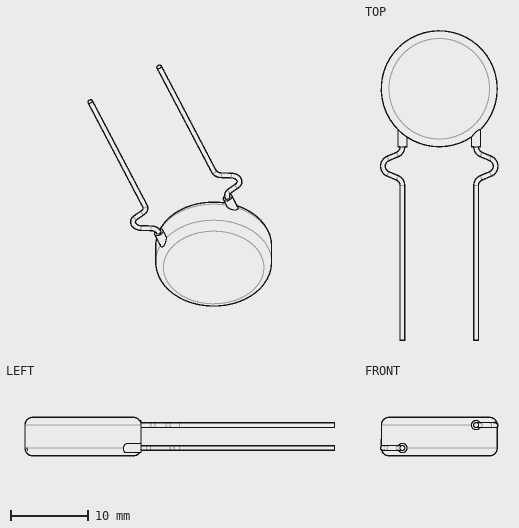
import cadquery as cq
import math

disc_diameter = 15.0
disc_height = 5.0
edge_fillet = 1.0
disc_radius = disc_diameter / 2

sleeve_diameter = 1.2
sleeve_root_y = -4.0
sleeve_end_y = -disc_radius

overall_length = 40.0
overall_width = 15.2
wire_diameter = 0.65
lead_x = 4.75
lead_z = 1.5
kink_length = 5.0
kink_bend_radius = 1.1
lead_end_y = disc_radius - overall_length
kink_end_y = sleeve_end_y - kink_length
kink_tip_y = sleeve_end_y - kink_length / 2
kink_tip_x = (overall_width - wire_diameter) / 2

lead_sides = [-1, 1]


def cylinder_along_y(diameter, side, start_y, end_y):
    """Cylinder on a lead's axis running toward -Y from start_y to end_y."""
    plane = cq.Plane(origin=(side * lead_x, start_y, side * lead_z), xDir=(1, 0, 0), normal=(0, -1, 0))
    return cq.Workplane(plane).circle(diameter / 2).extrude(start_y - end_y)


def make_housing():
    """Rounded disc with one sleeve per lead."""
    housing = (
        cq.Workplane("XY", origin=(0, 0, -disc_height / 2))
        .circle(disc_radius)
        .extrude(disc_height)
        .faces("|Z")
        .edges()
        .fillet(edge_fillet)
    )
    for side in lead_sides:
        housing = housing.union(cylinder_along_y(sleeve_diameter, side, sleeve_root_y, sleeve_end_y))
    return housing


def kink_bend_points():
    """Middle and end of the first bend, as (outward, along the lead) offsets from the kink's start.

    A straight slope tangent to two equal bends joins the sleeve to the kink's tip, and
    passes through the point halfway between them.
    """
    half_out = (kink_tip_x - lead_x) / 2
    half_along = (sleeve_end_y - kink_tip_y) / 2
    centre_to_middle = math.hypot(half_out - kink_bend_radius, half_along)
    half_slope = math.sqrt(centre_to_middle**2 - kink_bend_radius**2)
    middle_angle = math.atan2(half_along, half_out - kink_bend_radius)
    bend_angle = math.pi / 2 - middle_angle + math.atan2(kink_bend_radius, half_slope)
    return [
        (kink_bend_radius * (1 - math.cos(angle)), kink_bend_radius * math.sin(angle))
        for angle in (bend_angle / 2, bend_angle)
    ]


def make_lead(side):
    """Round wire swept from the sleeve's end face through the outward kink to the pin's end."""
    (mid_out, mid_along), (end_out, end_along) = kink_bend_points()

    def at(x, y):
        return (side * x, y)

    path = (
        cq.Workplane("XY", origin=(0, 0, side * lead_z))
        .moveTo(*at(lead_x, sleeve_end_y))
        .threePointArc(at(lead_x + mid_out, sleeve_end_y - mid_along),
                       at(lead_x + end_out, sleeve_end_y - end_along))
        .lineTo(*at(kink_tip_x - end_out, kink_tip_y + end_along))
        .threePointArc(at(kink_tip_x, kink_tip_y),
                       at(kink_tip_x - end_out, kink_tip_y - end_along))
        .lineTo(*at(lead_x + end_out, kink_end_y + end_along))
        .threePointArc(at(lead_x + mid_out, kink_end_y + mid_along), at(lead_x, kink_end_y))
    )
    section_plane = cq.Plane(
        origin=(side * lead_x, sleeve_end_y, side * lead_z), xDir=(1, 0, 0), normal=(0, -1, 0)
    )
    kink = cq.Workplane(section_plane).circle(wire_diameter / 2).sweep(path)
    pin = cylinder_along_y(wire_diameter, side, kink_end_y, lead_end_y)
    return kink.union(pin)


housing = make_housing()
leads = [make_lead(side) for side in lead_sides]

result = cq.Compound.makeCompound([housing.solids().val(), *[lead.solids().val() for lead in leads]])